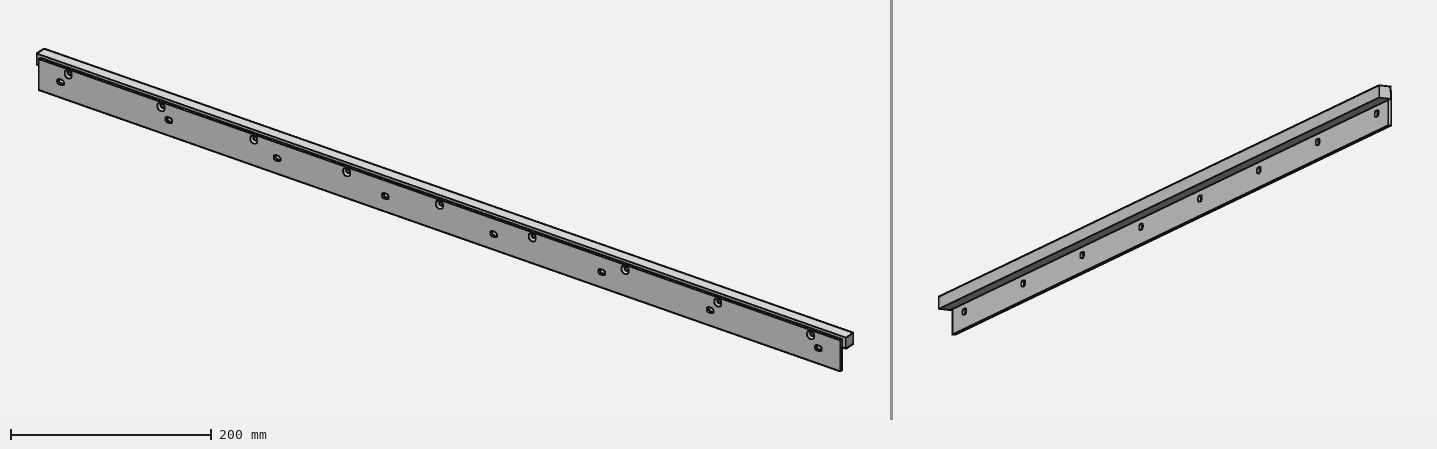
import cadquery as cq

bar_length = 996.95
bar_size = 12.7
bar_proud = 3.3

overall_height = 38.61
plate_end_inset = 4.76
plate_length = bar_length - 2 * plate_end_inset
plate_height = overall_height - bar_proud
plate_thickness = 3.175

screw_count = 9
screw_pitch = 114.3
screw_drop = 5.8
screw_diameter = 4.5
countersink_diameter = 9.0
countersink_angle = 82
screw_depth_in_bar = 9.5

slot_count = 8
slot_pitch = 133.35
slot_length = 8.5
slot_width = 6.0

bar_centre_z = overall_height - bar_size / 2
screw_z = plate_height - screw_drop
slot_z = plate_height / 2


def row_along_x(count, pitch, z):
    """Points evenly spaced along X about the middle of the part, at height z."""
    return [((i - (count - 1) / 2) * pitch, z) for i in range(count)]


screw_points = row_along_x(screw_count, screw_pitch, screw_z)
slot_points = row_along_x(slot_count, slot_pitch, slot_z)


def make_bar():
    bar = cq.Workplane("XY").box(bar_length, bar_size, bar_size)
    bar = bar.translate((0, bar_size / 2, bar_centre_z))
    mating_face = cq.Workplane("XZ").pushPoints(screw_points)
    screw_holes = mating_face.circle(screw_diameter / 2).extrude(-screw_depth_in_bar)
    return bar.cut(screw_holes)


def make_plate():
    front_face = cq.Workplane("XZ", origin=(0, -plate_thickness, 0))
    plate = front_face.center(0, plate_height / 2).rect(plate_length, plate_height).extrude(-plate_thickness)
    plate = (
        plate.copyWorkplane(front_face)
        .pushPoints(screw_points)
        .cskHole(screw_diameter, countersink_diameter, countersink_angle)
    )
    slots = front_face.pushPoints(slot_points).slot2D(slot_length, slot_width).extrude(-plate_thickness)
    return plate.cut(slots)


bar = make_bar()
plate = make_plate()
result = cq.Compound.makeCompound([bar.val(), plate.val()])